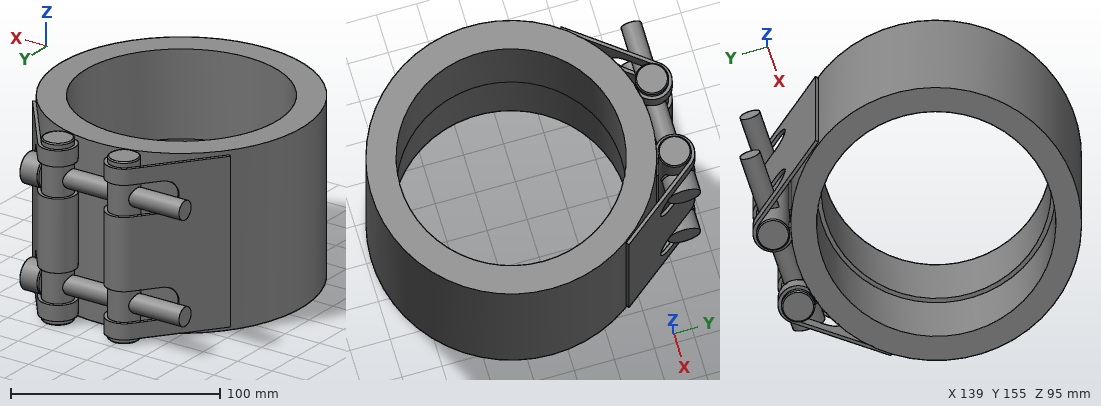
import cadquery as cq
import math

sleeve_diameter = 139.0
sleeve_height = 93.9
upper_bore_diameter = 110.0
lower_bore_diameter = 114.4
sleeve_radius = sleeve_diameter / 2

pin_diameter = 16.0
pin_length = 95.0
pin_chamfer = 0.6
pin_offset_x = 19.2
pin_radius = pin_diameter / 2

strap_thickness = 1.7
strap_height = 89.1
strap_overhang = 2.2
strap_slot_width = 16.7
strap_slot_start = 32.1
wrap_radius = pin_radius + strap_thickness

overall_depth = 155.0
pin_y = overall_depth - sleeve_radius - wrap_radius

bolt_diameter = 10.0
bolt_spacing = 55.5
bolt_tip_x = -54.7
bolt_end_x = 35.8
head_diameter = 16.3
head_length = 10.0
washer_diameter = 16.6
washer_thickness = 1.1
bolt_heights = (-bolt_spacing / 2, bolt_spacing / 2)


def make_ring():
    """Plain ring with the stepped bore, centred on the origin."""
    ring = cq.Workplane("XY").circle(sleeve_radius).circle(upper_bore_diameter / 2).extrude(sleeve_height)
    lower_bore = cq.Workplane("XY").circle(lower_bore_diameter / 2).extrude(sleeve_height / 2)
    return ring.cut(lower_bore).translate((0, 0, -sleeve_height / 2))


def make_left_strap():
    """Slotted strap on the -X side."""
    pin_center = cq.Vector(-pin_offset_x, pin_y)

    pin_distance = pin_center.Length
    pin_angle = math.atan2(pin_center.y, pin_center.x)
    normal_angle = pin_angle + math.acos((sleeve_radius - pin_radius) / pin_distance)
    normal = cq.Vector(math.cos(normal_angle), math.sin(normal_angle))
    along = cq.Vector(normal.y, -normal.x)

    contact = normal * sleeve_radius
    inner_end = contact - along * strap_overhang
    outer_end = inner_end + normal * strap_thickness

    down = cq.Vector(0, -1)
    middle_angle = (normal_angle - math.pi / 2) / 2
    middle = cq.Vector(math.cos(middle_angle), math.sin(middle_angle))
    inner_start, inner_middle, inner_tip = [pin_center + d * pin_radius for d in (normal, middle, down)]
    outer_start, outer_middle, outer_tip = [pin_center + d * wrap_radius for d in (normal, middle, down)]
    strap = (
        cq.Workplane("XY")
        .moveTo(inner_end.x, inner_end.y)
        .lineTo(inner_start.x, inner_start.y)
        .threePointArc((inner_middle.x, inner_middle.y), (inner_tip.x, inner_tip.y))
        .lineTo(outer_tip.x, outer_tip.y)
        .threePointArc((outer_middle.x, outer_middle.y), (outer_start.x, outer_start.y))
        .lineTo(outer_end.x, outer_end.y)
        .close()
        .extrude(strap_height / 2, both=True)
    )

    slot_length = pin_distance
    slot_center = contact + along * strap_slot_start
    slot_plane = cq.Plane(origin=slot_center, xDir=along, normal=normal)
    slots = (
        cq.Workplane(slot_plane)
        .pushPoints([(slot_length / 2, z) for z in bolt_heights])
        .slot2D(slot_length + strap_slot_width, strap_slot_width)
        .extrude(pin_distance, both=True)
    )
    return strap.cut(slots)


def make_sleeve():
    """Ring with a strap on each side."""
    left_strap = make_left_strap()
    right_strap = left_strap.mirror("YZ")
    return make_ring().union(left_strap).union(right_strap)


def make_pin(x):
    """Upright pin with chamfered ends."""
    pin = cq.Workplane("XY").circle(pin_radius).extrude(pin_length / 2, both=True)
    return pin.faces("|Z").chamfer(pin_chamfer).translate((x, pin_y, 0))


def make_bolt(z):
    """Cap screw along X with its head and washer flange at the +X end."""
    shank = cq.Workplane("YZ", origin=(bolt_tip_x, pin_y, z)).circle(bolt_diameter / 2)
    shank = shank.extrude(bolt_end_x - bolt_tip_x)
    head = cq.Workplane("YZ", origin=(bolt_end_x, pin_y, z)).circle(head_diameter / 2).extrude(-head_length)
    washer_x = bolt_end_x - head_length
    washer = cq.Workplane("YZ", origin=(washer_x, pin_y, z)).circle(washer_diameter / 2).extrude(-washer_thickness)
    return shank.union(head).union(washer)


def make_fastener():
    """Both pins joined by both bolts."""
    fastener = make_pin(-pin_offset_x).union(make_pin(pin_offset_x))
    for z in bolt_heights:
        fastener = fastener.union(make_bolt(z))
    return fastener


sleeve = make_sleeve()
fastener = make_fastener()

result = cq.Compound.makeCompound([sleeve.val(), fastener.val()])